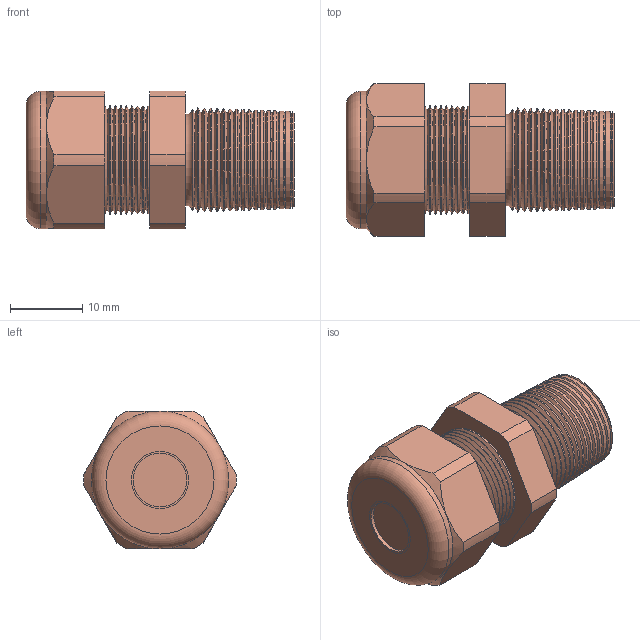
import cadquery as cq
import math


overall_length = 37.08
across_flats = 19.05
across_corners = 21.14

nut_length = 10.87
nut_bore_radius = 3.97
dome_radius = 9.5
dome_fillet = 2.02
dome_length = 2.8

recess_radius = 3.7
recess_depth = 0.5
body_hex_start = 17.1
body_hex_length = 4.96
body_hex_end = body_hex_start + body_hex_length

flank_angle = 30.0
flank_slope = math.tan(math.radians(flank_angle))
widest_groove = 0.98

nut_thread_pitch = 0.758
nut_thread_root = 6.87
nut_thread_first_groove = 11.25
nut_thread_grooves = 8
nut_thread_start_crest = 7.58
nut_thread_end_crest = 7.41

entry_thread_pitch = 0.89
entry_thread_root = 6.45
entry_thread_first_groove = 23.34
entry_thread_grooves = 16
entry_thread_start_crest = 7.21
entry_thread_end_crest = 6.71

undercut_radius = 6.3
undercut_lip_height = 0.5


def cylinder(start, length, radius):
    return cq.Workplane("YZ", origin=(start, 0, 0)).circle(radius).extrude(length)


def hexagon(start, length):
    """Hexagonal prism along X with flats facing +Z and -Z and rounded corners."""
    sharp_corners = across_flats / math.cos(math.radians(30))
    prism = cq.Workplane("YZ", origin=(start, 0, 0)).polygon(6, sharp_corners).extrude(length)
    return prism.intersect(cylinder(start, length, across_corners / 2))


def revolve_about_x(profile):
    return profile.close().revolve(360, (0, 0, 0), (1, 0, 0))


def add_grooves(profile, first_groove, pitch, count, root, start_crest, end_crest):
    """Continue a profile along a row of V grooves, from the top of the first groove's near flank."""
    for index in range(count):
        middle = first_groove + index * pitch
        crest = start_crest + (end_crest - start_crest) * index / (count - 1)
        half_width = min((crest - root) * flank_slope, widest_groove * pitch / 2)
        top = root + half_width / flank_slope
        if index > 0:
            profile = profile.lineTo(middle - half_width, top)
        profile = profile.lineTo(middle, root).lineTo(middle + half_width, top)
    return profile


def make_nut():
    corner_radius = across_corners / 2
    chamfer_end = dome_length + corner_radius - dome_radius
    envelope = (
        cq.Workplane("XY")
        .lineTo(0, dome_radius - dome_fillet)
        .radiusArc((dome_fillet, dome_radius), dome_fillet)
        .lineTo(dome_length, dome_radius)
        .lineTo(chamfer_end, corner_radius)
        .lineTo(nut_length, corner_radius)
        .lineTo(nut_length, 0)
    )
    blank = hexagon(0, nut_length).intersect(revolve_about_x(envelope))
    return blank.cut(cylinder(0, nut_length, nut_bore_radius))


def make_body():
    profile = (
        cq.Workplane("XY")
        .moveTo(recess_depth, 0)
        .lineTo(recess_depth, recess_radius)
        .lineTo(0, recess_radius)
        .lineTo(0, nut_bore_radius)
        .lineTo(nut_length, nut_bore_radius)
    )

    nut_thread_lead = nut_thread_first_groove - nut_length
    first_crest = nut_thread_root + nut_thread_lead / flank_slope
    profile = add_grooves(
        profile.lineTo(nut_length, first_crest),
        nut_thread_first_groove,
        nut_thread_pitch,
        nut_thread_grooves,
        nut_thread_root,
        nut_thread_start_crest,
        nut_thread_end_crest,
    )

    lip_position = entry_thread_first_groove - undercut_lip_height * flank_slope
    lip_radius = entry_thread_root + undercut_lip_height
    profile = (
        profile.lineTo(body_hex_start, nut_thread_end_crest)
        .lineTo(body_hex_start, undercut_radius)
        .lineTo(body_hex_end, undercut_radius)
        .tangentArcPoint((lip_position, lip_radius), relative=False)
    )

    profile = add_grooves(
        profile,
        entry_thread_first_groove,
        entry_thread_pitch,
        entry_thread_grooves,
        entry_thread_root,
        entry_thread_start_crest,
        entry_thread_end_crest,
    )
    profile = profile.lineTo(overall_length, entry_thread_root).lineTo(overall_length, 0)
    return revolve_about_x(profile).union(hexagon(body_hex_start, body_hex_length))


nut = make_nut()
body = make_body()

result = cq.Compound.makeCompound([nut.val(), body.val()])